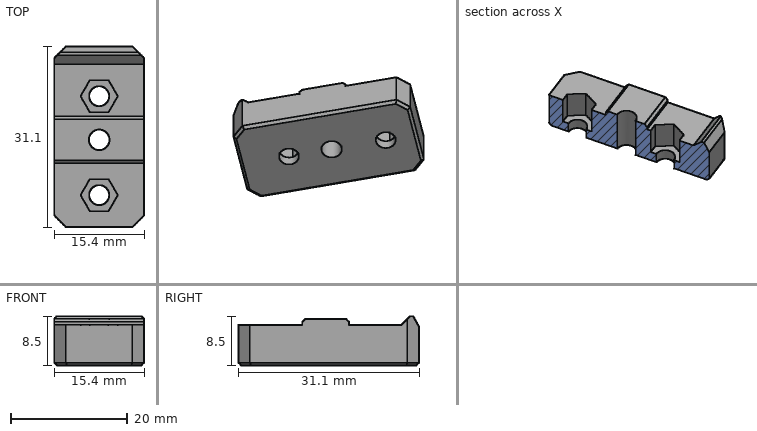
import cadquery as cq

width = 15.45
length = 31.05
deck_height = 7.0
corner_chamfer = 2.0
bottom_chamfer = 0.5

pad_center_y = 15.0
pad_length = 8.05
pad_rise = 1.0
pad_chamfer = 0.5

lip_height = 8.5
lip_outer_run = 1.0
lip_outer_drop = 1.8
lip_foot_y = 28.0

center_hole_diameter = 3.5
screw_hole_diameter = 3.4
screw_pitch = 17.0
first_screw_y = 5.5
nut_across_corners = 6.4
nut_pocket_depth = 5.0

pad_front_y = pad_center_y - pad_length / 2
pad_rear_y = pad_center_y + pad_length / 2
pad_height = deck_height + pad_rise
pad_shoulder_height = pad_height - pad_chamfer
lip_rise = lip_height - deck_height
lip_crest_front_y = lip_foot_y + lip_rise
lip_crest_rear_y = length - lip_outer_run
lip_shoulder_height = lip_height - lip_outer_drop
screw_positions = [(0, first_screw_y), (0, first_screw_y + screw_pitch)]


def make_body():
    """Side profile with deck, pad and lip, extruded across the full width."""
    profile = [
        (0, 0),
        (length, 0),
        (length, lip_shoulder_height),
        (lip_crest_rear_y, lip_height),
        (lip_crest_front_y, lip_height),
        (lip_foot_y, deck_height),
        (pad_rear_y, deck_height),
        (pad_rear_y, pad_shoulder_height),
        (pad_rear_y - pad_chamfer, pad_height),
        (pad_front_y + pad_chamfer, pad_height),
        (pad_front_y, pad_shoulder_height),
        (pad_front_y, deck_height),
        (0, deck_height),
    ]
    return cq.Workplane("YZ").polyline(profile).close().extrude(width / 2, both=True)


def make_envelope():
    """Outer block with bevelled vertical corners and a bevelled bottom rim."""
    block = cq.Workplane("XY").box(width, length, lip_height, centered=(True, False, False))
    return block.edges("|Z").chamfer(corner_chamfer).faces("<Z").edges().chamfer(bottom_chamfer)


def make_through_holes(positions, diameter):
    """Vertical cylinders running from the underside past the top of the part."""
    return cq.Workplane("XY").pushPoints(positions).circle(diameter / 2).extrude(lip_height)


def make_nut_pockets():
    """Hexagonal pockets sunk from the deck, with two corners along X."""
    return (
        cq.Workplane("XY", origin=(0, 0, deck_height))
        .pushPoints(screw_positions)
        .polygon(6, nut_across_corners)
        .extrude(-nut_pocket_depth)
    )


result = (
    make_body()
    .intersect(make_envelope())
    .cut(make_through_holes([(0, pad_center_y)], center_hole_diameter))
    .cut(make_through_holes(screw_positions, screw_hole_diameter))
    .cut(make_nut_pockets())
)